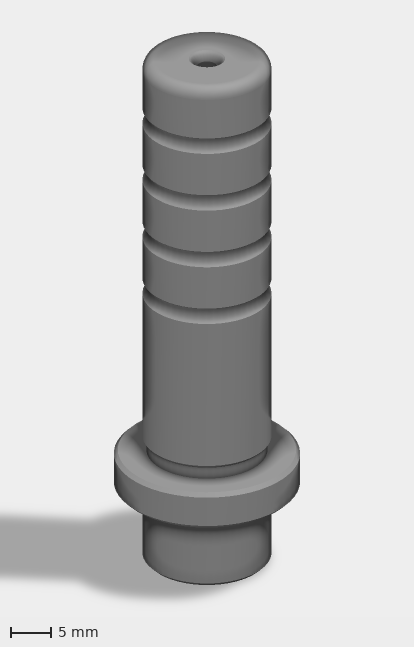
import cadquery as cq
import math

total_height = 70.0
pin_radius = 15.95 / 2
flange_radius = 23.0 / 2
edge_chamfer = 0.5
top_round = 1.5

flange_bottom = 10.0
flange_top = 15.0
neck_radius = pin_radius - 0.5
lower_neck_bottom = 8.75
upper_neck_top = 17.0

groove_count = 4
groove_pitch = 8.0
first_groove_depth_from_top = 8.0
groove_width = 2.2
groove_depth = 0.5

countersink_radius = 2.25
bore_radius = 1.2
countersink_angle = 90.0
drill_tip_angle = 120.0
bore_depth = 4.2


def turned_body():
    """Revolve the outer profile: pin, relief necks and chamfered flange."""
    neck_slope = pin_radius - neck_radius
    profile = (
        cq.Workplane("XZ")
        .lineTo(pin_radius - edge_chamfer, 0)
        .lineTo(pin_radius, edge_chamfer)
        .lineTo(pin_radius, lower_neck_bottom)
        .lineTo(neck_radius, lower_neck_bottom + neck_slope)
        .lineTo(neck_radius, flange_bottom)
        .lineTo(flange_radius - edge_chamfer, flange_bottom)
        .lineTo(flange_radius, flange_bottom + edge_chamfer)
        .lineTo(flange_radius, flange_top - edge_chamfer)
        .lineTo(flange_radius - edge_chamfer, flange_top)
        .lineTo(neck_radius, flange_top)
        .lineTo(neck_radius, upper_neck_top - neck_slope)
        .lineTo(pin_radius, upper_neck_top)
        .lineTo(pin_radius, total_height - top_round)
        .radiusArc((pin_radius - top_round, total_height), -top_round)
        .lineTo(0, total_height)
        .close()
    )
    return profile.revolve(360, (0, 0, 0), (0, 1, 0))


def oil_groove(center_z):
    """Ring whose round section cuts a shallow arc into the pin."""
    half_width = groove_width / 2
    section_radius = (half_width**2 + groove_depth**2) / (2 * groove_depth)
    section_center = pin_radius - groove_depth + section_radius
    return (
        cq.Workplane("XZ")
        .center(section_center, center_z)
        .circle(section_radius)
        .revolve(360, (-section_center, 0, 0), (-section_center, 1, 0))
    )


def center_hole():
    """Countersunk bore with a conical drill tip."""
    countersink_depth = (countersink_radius - bore_radius) / math.tan(math.radians(countersink_angle / 2))
    tip_depth = bore_radius / math.tan(math.radians(drill_tip_angle / 2))
    bore_bottom = total_height - bore_depth
    return (
        cq.Workplane("XZ")
        .moveTo(0, total_height)
        .lineTo(countersink_radius, total_height)
        .lineTo(bore_radius, total_height - countersink_depth)
        .lineTo(bore_radius, bore_bottom)
        .lineTo(0, bore_bottom - tip_depth)
        .close()
        .revolve(360, (0, 0, 0), (0, 1, 0))
    )


result = turned_body()
for index in range(groove_count):
    groove_z = total_height - first_groove_depth_from_top - index * groove_pitch
    result = result.cut(oil_groove(groove_z))
result = result.cut(center_hole())